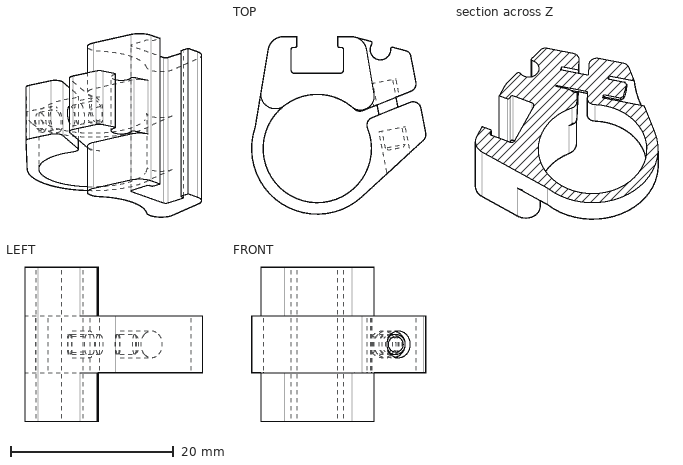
import cadquery as cq
import math

rail_height = 19.0
band_height = 7.0
top_y = 13.78

ring_radius = 8.1
bore_radius = 6.65

side_angle = math.radians(9.5)
side_distance = 7.98
top_corner_radius = 1.95
top_middle_angle = math.radians(45)
left_foot_radius = 1.8
right_foot_radius = 1.68
foot_middle_angle = math.radians(-60)

slot_mouth_width = 5.0
slot_width = 6.43
lip_depth = 1.35
slot_depth = 4.5
slot_floor_radius = 0.4
lip_radius = 0.25

lug_top_angle = math.radians(15)
lug_lean = math.radians(11)
lug_distance = 13.47
lug_lower_angle = math.radians(42.6)
lug_top_corner_radius = 0.8
lug_corner_radius = 1.0

gap_angle = math.radians(22)
gap_lower = 1.0
gap_upper = 2.2

notch_diameter = 2.5
notch_x = 7.76
notch_y = 12.15
notch_corner_radius = 0.25

bolt_diameter = 2.5
bolt_chamfer = 0.3
bolt_bore_diameter = 3.3
bolt_axis_distance = 9.47
bolt_end = -1.85
lower_bore_floor = 0.57
upper_bore_start = 3.5
upper_bore_floor = 6.56


def direction(angle):
    """Unit vector at an angle from +X."""
    return cq.Vector(math.cos(angle), math.sin(angle))


def line_crossing(angle_a, distance_a, angle_b, distance_b):
    """Crossing of two lines, each given by its normal angle and its distance from the bore axis."""
    spread = math.sin(angle_b - angle_a)
    x = (distance_a * math.sin(angle_b) - distance_b * math.sin(angle_a)) / spread
    y = (distance_b * math.cos(angle_a) - distance_a * math.cos(angle_b)) / spread
    return cq.Vector(x, y)


def mirrored(point):
    return cq.Vector(-point.x, point.y)


def prism(points, height):
    outline = cq.Workplane("XY").polyline([(p.x, p.y) for p in points]).close()
    return outline.extrude(height / 2, both=True)


def disc(radius, height):
    return cq.Workplane("XY").circle(radius).extrude(height / 2, both=True)


def round_corner(body, point, radius):
    """Fillet the upright edge nearest to a point."""
    return body.edges("|Z").edges(cq.NearestToPointSelector((point.x, point.y, 0))).fillet(radius)


side_normal = direction(side_angle)
side_along = direction(side_angle + math.pi / 2)
top_arc_y = top_y - top_corner_radius
top_arc_center = line_crossing(side_angle, side_distance - top_corner_radius, math.pi / 2, top_arc_y)

top_normal_angle = math.pi / 2 - lug_top_angle
top_normal = direction(top_normal_angle)
top_distance = top_arc_center.dot(top_normal) + top_corner_radius
lower_normal_angle = lug_lower_angle - math.pi / 2
lug_top_corner = line_crossing(lug_lean, lug_distance, top_normal_angle, top_distance)
lug_lower_corner = line_crossing(lug_lean, lug_distance, lower_normal_angle, ring_radius)

gap_normal_angle = gap_angle + math.pi / 2
gap_along = direction(gap_angle)
gap_normal = direction(gap_normal_angle)


def find_foot_center(radius):
    """Centre, on the right side, of a foot arc tangent to both the rail side and the bore."""
    offset = side_distance - radius
    return side_normal * offset + side_along * math.sqrt((bore_radius + radius) ** 2 - offset**2)


def foot_points(radius):
    """Side tangent point, middle and bore tangent point of a foot arc on the right side."""
    center = find_foot_center(radius)
    side_point = center + side_normal * radius
    middle = center + direction(foot_middle_angle) * radius
    return side_point, middle, center.normalized() * bore_radius


def make_rail():
    top_start = top_arc_center + cq.Vector(0, top_corner_radius)
    top_middle = top_arc_center + direction(top_middle_angle) * top_corner_radius
    side_top = top_arc_center + side_normal * top_corner_radius
    right_side, right_middle, right_end = foot_points(right_foot_radius)
    left_side, left_middle, left_end = map(mirrored, foot_points(left_foot_radius))
    bore_top = cq.Vector(0, bore_radius)
    return (
        cq.Workplane("XY")
        .moveTo(-top_start.x, top_y)
        .lineTo(top_start.x, top_y)
        .threePointArc(top_middle, side_top)
        .lineTo(right_side.x, right_side.y)
        .threePointArc(right_middle, right_end)
        .threePointArc(bore_top, left_end)
        .threePointArc(left_middle, left_side)
        .lineTo(-side_top.x, side_top.y)
        .threePointArc(mirrored(top_middle), mirrored(top_start))
        .close()
        .extrude(rail_height / 2, both=True)
    )


def make_slot():
    channel_depth = slot_depth - lip_depth
    mouth = cq.Workplane("XY").center(0, top_y - slot_depth / 2)
    mouth = mouth.rect(slot_mouth_width, slot_depth).extrude(rail_height / 2, both=True)
    channel = cq.Workplane("XY").center(0, top_y - lip_depth - channel_depth / 2)
    channel = channel.rect(slot_width, channel_depth).extrude(rail_height / 2, both=True)
    slot = mouth.union(channel)
    lip_y = top_y - lip_depth
    for side in (-1, 1):
        wall_x = side * slot_width / 2
        slot = round_corner(slot, cq.Vector(wall_x, top_y - slot_depth), slot_floor_radius)
        slot = round_corner(slot, cq.Vector(wall_x, lip_y), lip_radius)
        slot = round_corner(slot, cq.Vector(side * slot_mouth_width / 2, lip_y), lip_radius)
    return slot


def make_web():
    """Fill between the rail's left side, continued downward, and the ring."""
    meeting = math.sqrt(ring_radius**2 - side_distance**2)
    web_top = find_foot_center(left_foot_radius) + side_normal * left_foot_radius
    return prism(
        [
            cq.Vector(0, 0),
            mirrored(side_normal * side_distance + side_along * meeting),
            mirrored(web_top),
            cq.Vector(0, web_top.y),
        ],
        band_height,
    )


def make_lug():
    """Lug with sharp corners, reaching inward to the ring and the rail."""
    return prism(
        [
            cq.Vector(0, 0),
            direction(lower_normal_angle) * ring_radius,
            lug_lower_corner,
            lug_top_corner,
            top_arc_center + top_normal * top_corner_radius,
            top_arc_center,
            find_foot_center(right_foot_radius),
        ],
        band_height,
    )


def make_gap():
    gap_far = gap_along * (2 * lug_distance)
    return prism(
        [
            gap_normal * gap_lower,
            gap_normal * gap_lower + gap_far,
            gap_normal * gap_upper + gap_far,
            gap_normal * gap_upper,
        ],
        band_height,
    )


def round_lug_corners(band):
    band = round_corner(band, lug_top_corner, lug_top_corner_radius)
    band = round_corner(band, lug_lower_corner, lug_corner_radius)
    for offset in (gap_lower, gap_upper):
        outer = line_crossing(lug_lean, lug_distance, gap_normal_angle, offset)
        inner = gap_normal * offset + gap_along * math.sqrt(bore_radius**2 - offset**2)
        band = round_corner(band, outer, lug_corner_radius)
        band = round_corner(band, inner, lug_corner_radius)
    return band


def cut_notch(band):
    """Round notch in the lug top, with both rim corners rounded."""
    notch_radius = notch_diameter / 2
    notch_center = cq.Vector(notch_x, notch_y)
    band = band.cut(disc(notch_radius, band_height).translate(notch_center))
    rise = top_distance - notch_center.dot(top_normal)
    reach = math.sqrt(notch_radius**2 - rise**2)
    for side in (-1, 1):
        rim = notch_center + top_normal * rise + direction(-lug_top_angle) * (side * reach)
        band = round_corner(band, rim, notch_corner_radius)
    return band


def make_band():
    """Ring, left web and split lug, all at band height."""
    band = disc(ring_radius, band_height).union(make_web()).union(make_lug())
    band = band.cut(disc(bore_radius, band_height)).cut(make_gap())
    return cut_notch(round_lug_corners(band))


def bolt_cylinder(diameter, start, end):
    """Cylinder on the bolt axis between two stations."""
    axis = direction(lug_lean + math.pi / 2)
    base = direction(lug_lean) * bolt_axis_distance + axis * start
    plane = cq.Plane(origin=base.toTuple(), xDir=(0, 0, 1), normal=axis.toTuple())
    return cq.Workplane(plane).circle(diameter / 2).extrude(end - start)


lower_bore = bolt_cylinder(bolt_bore_diameter, -lug_distance, lower_bore_floor)
upper_bore = bolt_cylinder(bolt_bore_diameter, upper_bore_start, upper_bore_floor)
bolt = bolt_cylinder(bolt_diameter, bolt_end, upper_bore_floor).faces("<Y").chamfer(bolt_chamfer)

rail = make_rail().cut(make_slot())
band = make_band().cut(lower_bore).cut(upper_bore)
result = rail.union(band).union(bolt)